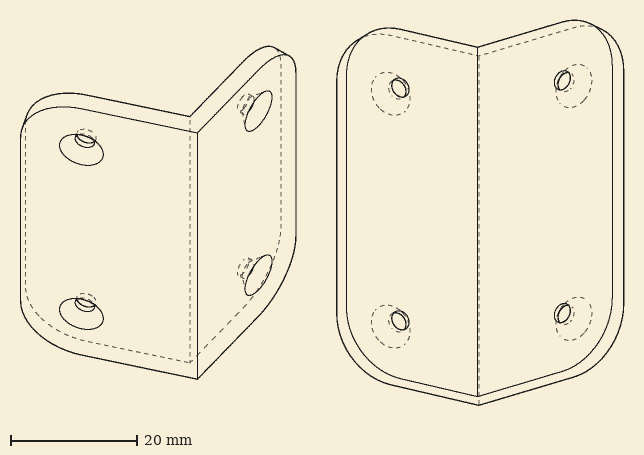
import cadquery as cq
import math

height = 60.0
thickness = 3.0
overall_width = 38.5
overall_depth = 25.7
bend_angle = 69.0
corner_radius = 10.0
hole_diameter = 3.2
countersink_diameter = 7.2
countersink_angle = 90.0

bend = math.radians(bend_angle)
bent_length = (overall_depth - thickness * math.cos(bend)) / math.sin(bend)
flat_length = overall_width - bent_length * math.cos(bend)

hole_inset = corner_radius
hole_heights = (hole_inset, height - hole_inset)

flat_plane = cq.Plane(origin=(0, 0, 0), xDir=(1, 0, 0), normal=(0, -1, 0))
bent_plane = cq.Plane(
    origin=(flat_length, 0, 0),
    xDir=(math.cos(bend), math.sin(bend), 0),
    normal=(math.sin(bend), -math.cos(bend), 0),
)


def make_angle_profile():
    """Extrude the sharp-cornered V section to the full height."""
    inner_setback = thickness * math.tan(bend / 2)
    tip_x = flat_length + bent_length * math.cos(bend)
    tip_y = bent_length * math.sin(bend)
    section = [
        (0, 0),
        (flat_length, 0),
        (tip_x, tip_y),
        (tip_x - thickness * math.sin(bend), tip_y + thickness * math.cos(bend)),
        (flat_length - inner_setback, thickness),
        (0, thickness),
    ]
    return cq.Workplane("XY").polyline(section).close().extrude(height)


def round_free_corners(body):
    """Round the two corners at the free end of each leg."""
    flat_corners = body.faces("<X").edges("|Y")
    bent_end = cq.DirectionMinMaxSelector(bent_plane.xDir, True)
    bent_corners = body.faces(bent_end).edges("#Z")
    bent_corners = bent_corners.edges(cq.ParallelDirSelector(bent_plane.zDir))
    return flat_corners.add(bent_corners).fillet(corner_radius)


def drill_leg(body, outer_plane, hole_position):
    """Drill a countersunk hole pair through one leg from its outer face."""
    centers = [(hole_position, z) for z in hole_heights]
    return (
        body.copyWorkplane(cq.Workplane(outer_plane))
        .pushPoints(centers)
        .cskHole(hole_diameter, countersink_diameter, countersink_angle, depth=thickness)
    )


result = make_angle_profile()
result = round_free_corners(result)
result = drill_leg(result, flat_plane, hole_inset)
result = drill_leg(result, bent_plane, bent_length - hole_inset)